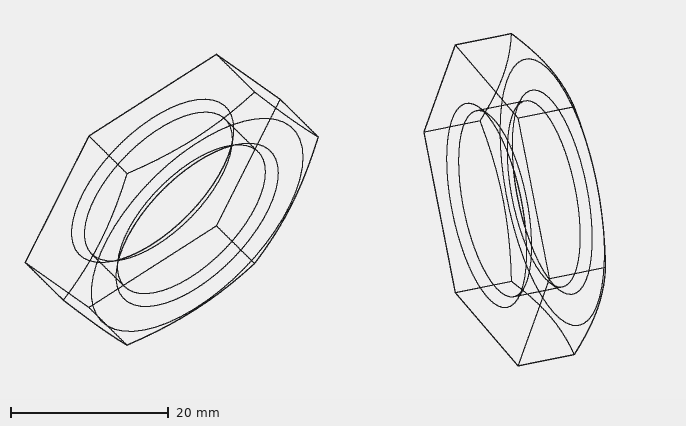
import cadquery as cq
import math

across_corners = 41.55
thickness = 9.0
bore_diameter = 24.1
mouth_diameter = 26.45
crown_face_diameter = 34.5
crown_angle = 20.0


def hexagon_body():
    """Hexagonal prism with two corners on the Y axis and flats facing +Z and -Z."""
    return cq.Workplane("YZ").polygon(6, across_corners).extrude(thickness)


def crown_envelope():
    """Cylinder around the corners, coned at +X to chamfer them."""
    corner_radius = across_corners / 2
    face_radius = crown_face_diameter / 2
    cone_depth = (corner_radius - face_radius) * math.tan(math.radians(crown_angle))
    return (
        cq.Workplane("XY")
        .lineTo(0, corner_radius)
        .lineTo(thickness - cone_depth, corner_radius)
        .lineTo(thickness, face_radius)
        .lineTo(thickness, 0)
        .close()
        .revolve(360, (0, 0, 0), (1, 0, 0))
    )


def bore():
    """Through bore with a 45 degree countersink at each end."""
    bore_radius = bore_diameter / 2
    mouth_radius = mouth_diameter / 2
    sink_depth = mouth_radius - bore_radius
    return (
        cq.Workplane("XY")
        .lineTo(0, mouth_radius)
        .lineTo(sink_depth, bore_radius)
        .lineTo(thickness - sink_depth, bore_radius)
        .lineTo(thickness, mouth_radius)
        .lineTo(thickness, 0)
        .close()
        .revolve(360, (0, 0, 0), (1, 0, 0))
    )


result = hexagon_body().intersect(crown_envelope()).cut(bore())